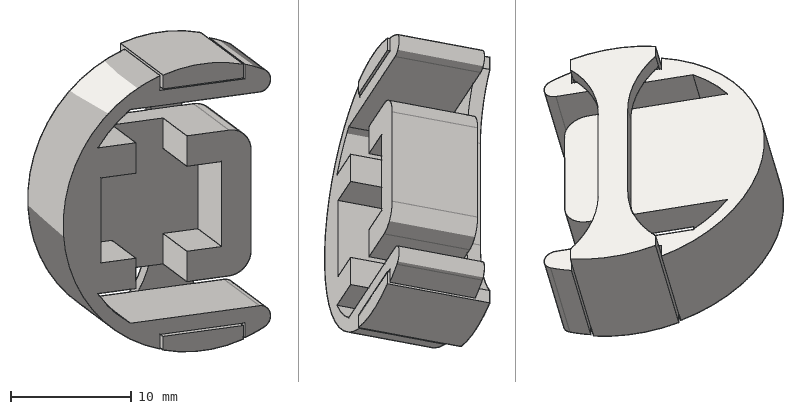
import cadquery as cq
import math

OUTER_RADIUS = 12.55
CLEARANCE = 0.15
SIDE_CLEARANCE = 0.2

HOUSING_THICKNESS = 7.5
RIM_THICKNESS = 1.18
ARM_INNER_HEIGHT = 9.34
ARM_TIP_RADIUS = 1
BLOCK_HALF_HEIGHT = 6.38
BLOCK_END = 4.4
BLOCK_CORNER_RADIUS = 2
BLOCK_WEB_THICKNESS = 2.45
CAVITY_WALL = 2.65
SLOT_WIDTH = 4.6
SLOT_EDGE = -1.4

CLIP_PLATE_THICKNESS = 1.2
CLIP_OVERHANG = CLEARANCE
STEM_HALF_WIDTH = 1.25
STEM_STRAIGHT_HALF_HEIGHT = 4.97
CROSSBAR_HALF_WIDTH = 3.61
CROSSBAR_UNDERSIDE = 10.82

RIM_INNER_RADIUS = OUTER_RADIUS - RIM_THICKNESS
HOUSING_FRONT = CLIP_PLATE_THICKNESS + CLEARANCE
HOUSING_BACK = HOUSING_FRONT + HOUSING_THICKNESS
CLIP_LENGTH = HOUSING_BACK + CLIP_OVERHANG
CAVITY_FLOOR = HOUSING_FRONT + BLOCK_WEB_THICKNESS
CAVITY_HALF_HEIGHT = BLOCK_HALF_HEIGHT - CAVITY_WALL
CAVITY_END = BLOCK_END - CAVITY_WALL
SLOT_FAR_EDGE = SLOT_EDGE - SLOT_WIDTH
CAVITY_FAR_END = SLOT_EDGE + SLOT_FAR_EDGE - CAVITY_END
GROOVE_HALF_WIDTH = CROSSBAR_HALF_WIDTH + SIDE_CLEARANCE
GROOVE_FLOOR = CROSSBAR_UNDERSIDE - CLEARANCE


def box(x_range, y_range, z_range):
    """Box between the given limits on each axis."""
    starts, ends = zip(x_range, y_range, z_range)
    lengths = [end - start for start, end in zip(starts, ends)]
    return cq.Workplane("XY").box(*lengths, centered=False).translate(starts)


def disc(radius, x_start, x_end):
    """Solid disc about the X axis."""
    return cq.Workplane("YZ").workplane(offset=x_start).circle(radius).extrude(x_end - x_start)


def make_rim():
    """D-shaped ring with two arms whose free tips are rounded."""
    tip_center_z = ARM_INNER_HEIGHT + ARM_TIP_RADIUS
    center_distance = OUTER_RADIUS - ARM_TIP_RADIUS
    tip_center_y = math.sqrt(center_distance**2 - tip_center_z**2)
    outer_scale = OUTER_RADIUS / center_distance
    tip_y, tip_z = tip_center_y * outer_scale, tip_center_z * outer_scale
    inner_y = -math.sqrt(RIM_INNER_RADIUS**2 - ARM_INNER_HEIGHT**2)
    tip_end_y = tip_center_y + ARM_TIP_RADIUS
    return (
        cq.Workplane("YZ")
        .workplane(offset=HOUSING_FRONT)
        .moveTo(tip_y, tip_z)
        .threePointArc((-OUTER_RADIUS, 0), (tip_y, -tip_z))
        .threePointArc((tip_end_y, -tip_center_z), (tip_center_y, -ARM_INNER_HEIGHT))
        .lineTo(inner_y, -ARM_INNER_HEIGHT)
        .threePointArc((-RIM_INNER_RADIUS, 0), (inner_y, ARM_INNER_HEIGHT))
        .lineTo(tip_center_y, ARM_INNER_HEIGHT)
        .threePointArc((tip_end_y, tip_center_z), (tip_y, tip_z))
        .close()
        .extrude(HOUSING_THICKNESS)
    )


def make_block():
    """Central block with a rounded free end and a slotted cavity open at the back."""
    heights = (-BLOCK_HALF_HEIGHT, BLOCK_HALF_HEIGHT)
    cavity_heights = (-CAVITY_HALF_HEIGHT, CAVITY_HALF_HEIGHT)
    cavity_depth = (CAVITY_FLOOR, HOUSING_BACK)
    block = box((HOUSING_FRONT, HOUSING_BACK), (-OUTER_RADIUS, BLOCK_END), heights)
    block = block.edges("|X and >Y").fillet(BLOCK_CORNER_RADIUS)
    cavity = box(cavity_depth, (CAVITY_FAR_END, CAVITY_END), cavity_heights)
    slot = box(cavity_depth, (SLOT_FAR_EDGE, SLOT_EDGE), heights)
    reach = disc(RIM_INNER_RADIUS + RIM_THICKNESS / 2, HOUSING_FRONT, HOUSING_BACK)
    return block.cut(cavity).cut(slot).intersect(reach)


def make_housing():
    """Rim and block, with a groove across the outside of each arm for the clip."""
    housing = make_rim().union(make_block())
    for heights in ((GROOVE_FLOOR, OUTER_RADIUS), (-OUTER_RADIUS, -GROOVE_FLOOR)):
        groove = box(
            (HOUSING_FRONT, HOUSING_BACK), (-GROOVE_HALF_WIDTH, GROOVE_HALF_WIDTH), heights
        )
        housing = housing.cut(groove)
    return housing


def make_clip_plate():
    """Front plate: a narrow stem that flares out to the crossbars at both ends."""
    flare_width = CROSSBAR_HALF_WIDTH - STEM_HALF_WIDTH
    flare_height = CROSSBAR_UNDERSIDE - STEM_STRAIGHT_HALF_HEIGHT
    flare_radius = (flare_width**2 + flare_height**2) / (2 * flare_width)
    half_angle = math.asin(flare_height / flare_radius) / 2
    middle_y = STEM_HALF_WIDTH + flare_radius * (1 - math.cos(half_angle))
    middle_z = STEM_STRAIGHT_HALF_HEIGHT + flare_radius * math.sin(half_angle)
    outline = (
        cq.Workplane("YZ")
        .moveTo(-CROSSBAR_HALF_WIDTH, OUTER_RADIUS)
        .lineTo(CROSSBAR_HALF_WIDTH, OUTER_RADIUS)
        .lineTo(CROSSBAR_HALF_WIDTH, CROSSBAR_UNDERSIDE)
        .threePointArc((middle_y, middle_z), (STEM_HALF_WIDTH, STEM_STRAIGHT_HALF_HEIGHT))
        .lineTo(STEM_HALF_WIDTH, -STEM_STRAIGHT_HALF_HEIGHT)
        .threePointArc((middle_y, -middle_z), (CROSSBAR_HALF_WIDTH, -CROSSBAR_UNDERSIDE))
        .lineTo(CROSSBAR_HALF_WIDTH, -OUTER_RADIUS)
        .lineTo(-CROSSBAR_HALF_WIDTH, -OUTER_RADIUS)
        .lineTo(-CROSSBAR_HALF_WIDTH, -CROSSBAR_UNDERSIDE)
        .threePointArc((-middle_y, -middle_z), (-STEM_HALF_WIDTH, -STEM_STRAIGHT_HALF_HEIGHT))
        .lineTo(-STEM_HALF_WIDTH, STEM_STRAIGHT_HALF_HEIGHT)
        .threePointArc((-middle_y, middle_z), (-CROSSBAR_HALF_WIDTH, CROSSBAR_UNDERSIDE))
        .close()
    )
    return outline.extrude(CLIP_PLATE_THICKNESS)


def make_clip():
    """Front plate with a crossbar at each end, rounded to the housing's outer radius."""
    clip = make_clip_plate()
    for heights in ((CROSSBAR_UNDERSIDE, OUTER_RADIUS), (-OUTER_RADIUS, -CROSSBAR_UNDERSIDE)):
        crossbar = box((0, CLIP_LENGTH), (-CROSSBAR_HALF_WIDTH, CROSSBAR_HALF_WIDTH), heights)
        clip = clip.union(crossbar)
    return clip.intersect(disc(OUTER_RADIUS, 0, CLIP_LENGTH))


housing = make_housing()
clip = make_clip()
result = cq.Compound.makeCompound([housing.val(), clip.val()])